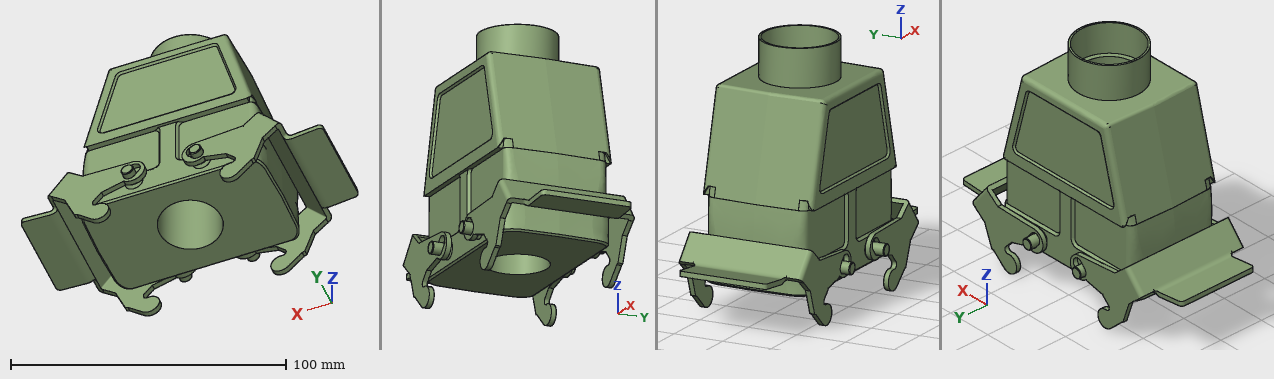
import cadquery as cq
import math

HOOD_BASE_Z = 32.2
SHELL_HALF_Y = 21.6
PANEL_HALF_Y = 20.5
CORNER_START_X = 31.5
END_BOW = 0.7
BASE_BEVEL = 0.7
HOOD_BASE_HALF_X = 34.31
CORNER_TOP_Y = 17.3
SHELL_STATIONS = (
    (BASE_BEVEL, 36.5, 14.1),
    (11.9, 36.0, 14.1),
    (27.3, 35.1, CORNER_TOP_Y),
    (HOOD_BASE_Z, HOOD_BASE_HALF_X, CORNER_TOP_Y),
)
PANEL_BASE_Z = 11.6
PANEL_INNER_X = 3.9
PANEL_CORNER_RADIUS = 2.1
RECESS_WALL_ANGLE = 40.0
PANEL_OVERRUN = 9.5
CUT_CLEARANCE = 0.1
ELLIPSE_PULL = 0.55

HOOD_TOP_Z = 71.8
HOOD_HALF_Y = 22.7
HOOD_TOP_HALF_X = 24.0
HOOD_BOW = 0.89
HOOD_FILLET = 1.9
HOOD_END_FILLET = 1.3
WINDOW_BASE_Z = 37.8
WINDOW_TOP_Z = 66.9
WINDOW_BASE_HALF_X = 27.0
WINDOW_TOP_HALF_X = 19.2
WINDOW_DEPTH = 0.8
WINDOW_CORNER_RADIUS = 1.8
CORNER_RELIEF_HEIGHT = 3.7
CORNER_RELIEF_TOP_Y = 20.4
NECK_INSET = 0.18

TOWER_DIAMETER = 30.0
TOWER_BORE_DIAMETER = 28.3
TOWER_TOP_Z = 86.9
LEDGE_Z = 73.7
BORE_DIAMETER = 24.0
BODY_SHIFT_Y = 0.1

PIN_X = 13.3
PIN_Z = 6.4
PIN_RADIUS = 2.4
PIN_END_Y = 28.62
PIN_CHAMFER = 0.3
BOSS_BASE_RADIUS = 4.4
BOSS_TOP_RADIUS = 2.5
BOSS_END_Y = 22.9

SHEET = 2.0
LEVER_HALF_Y = 25.5
LEVER_SHIFT_Y = 0.6
BRIDGE_ANGLE = 48.5
BRIDGE_LENGTH = 12.2
BRIDGE_FOOT = (-45.8, 10.2)
BEND_RADIUS = 1.8
INNER_BEND_RADIUS = 0.5
HANDLE_ANGLE = 173.8
HANDLE_LENGTH = 12.86
HANDLE_HALF_Y = 18.0
HANDLE_DROP = 0.7
HANDLE_BEND_RADIUS = 2.6
HANDLE_CORNER_RADIUS = 1.7
HANDLE_ROOT_RADIUS = 1.2
EYE_RADIUS = 5.04
SLOT_RADIUS = 2.5
SLOT_TRAVEL = 2.7
SLOT_ANGLE = 48.5
HOOK_CENTRE = (-26.2, -8.2)
HOOK_RADIUS = 4.0
THROAT_RADIUS = 1.48
THROAT_TURN = 96.0
THROAT_START = 138.0
THROAT_MIDDLE = 207.0
HOOK_MIDDLE = -20.0
HOOK_END = 226.0
ARM_TOP_CORNER = (-31.3, 13.9)
ARM_UNDERSIDE = ((-15.8, 3.5), (-24.5, 1.5))
BACK_CORNERS = ((-34.5, -5.9), (-35.5, -5.5), (-38.9, 4.1))
RIGHT_LEVER_SWING = 2.65


def along(point, angle, distance):
    """The point a distance away in a direction given in degrees."""
    turn = math.radians(angle)
    return (point[0] + distance * math.cos(turn), point[1] + distance * math.sin(turn))


def rounded_section(z, half_x, corner_x, half_y, corner_y):
    """Closed outline with creased ends and four tangent rounded corners."""
    end_x = half_x - END_BOW * corner_y / HOOD_HALF_Y
    pull_x = corner_x + ELLIPSE_PULL * (end_x - corner_x)
    pull_y = corner_y + ELLIPSE_PULL * (half_y - corner_y)
    return (
        cq.Workplane("XY", origin=(0, 0, z))
        .moveTo(half_x, 0)
        .lineTo(end_x, corner_y)
        .bezier([(end_x, corner_y), (end_x, pull_y), (pull_x, half_y), (corner_x, half_y)])
        .lineTo(-corner_x, half_y)
        .bezier([(-corner_x, half_y), (-pull_x, half_y), (-end_x, pull_y), (-end_x, corner_y)])
        .lineTo(-half_x, 0)
        .lineTo(-end_x, -corner_y)
        .bezier([(-end_x, -corner_y), (-end_x, -pull_y), (-pull_x, -half_y), (-corner_x, -half_y)])
        .lineTo(corner_x, -half_y)
        .bezier([(corner_x, -half_y), (pull_x, -half_y), (end_x, -pull_y), (end_x, -corner_y)])
        .close()
        .wire()
        .val()
    )


def hood_half_x(z):
    """Half length of the hood at the crease of its sloping ends."""
    share = (z - HOOD_BASE_Z) / (HOOD_TOP_Z - HOOD_BASE_Z)
    return HOOD_BASE_HALF_X + share * (HOOD_TOP_HALF_X - HOOD_BASE_HALF_X)


def shell_loft(half_y):
    """Flaring shell of one half width, from the bevelled base up to the hood."""
    base_half_x, base_corner_y = SHELL_STATIONS[0][1:]
    bottom = rounded_section(
        0, base_half_x - BASE_BEVEL, CORNER_START_X - BASE_BEVEL, half_y - BASE_BEVEL, base_corner_y
    )
    sections = [
        rounded_section(z, half_x, CORNER_START_X, half_y, corner_y)
        for z, half_x, corner_y in SHELL_STATIONS
    ]
    bevel = cq.Workplane(cq.Solid.makeLoft([bottom, sections[0]], True))
    return bevel.union(cq.Workplane(cq.Solid.makeLoft(sections)))


def side_plane(side, y):
    """Plane on one long side, with its normal pointing out of the housing."""
    return cq.Plane(origin=(0, side * y, 0), xDir=(-side, 0, 0), normal=(0, side, 0))


def lower_shell():
    """Flaring shell with a base band, centre ribs and recessed side panels."""
    shell = shell_loft(SHELL_HALF_Y)
    panel_length = HOOD_BASE_HALF_X + PANEL_OVERRUN
    panel_height = HOOD_BASE_Z - PANEL_BASE_Z
    for side in (-1, 1):
        for end in (-1, 1):
            recess = (
                cq.Workplane(side_plane(side, PANEL_HALF_Y))
                .center(end * (PANEL_INNER_X + panel_length / 2), PANEL_BASE_Z + panel_height / 2)
                .sketch()
                .rect(panel_length, panel_height)
                .vertices()
                .fillet(PANEL_CORNER_RADIUS)
                .finalize()
                .extrude(SHELL_HALF_Y - PANEL_HALF_Y + CUT_CLEARANCE, taper=-RECESS_WALL_ANGLE)
            )
            shell = shell.cut(recess)
    above_band = cq.Workplane("XY", origin=(0, 0, PANEL_BASE_Z))
    middle = above_band.rect(2 * CORNER_START_X, 3 * SHELL_HALF_Y).extrude(panel_height)
    ends = above_band.rect(4 * CORNER_START_X, 4 * SHELL_HALF_Y).extrude(panel_height).cut(middle)
    return shell.cut(ends).union(shell_loft(PANEL_HALF_Y)).union(shell_neck())


def shell_neck():
    """Top of the shell inside the hood, exposed only by the corner reliefs."""
    sections = []
    for z in (HOOD_BASE_Z, HOOD_BASE_Z + CORNER_RELIEF_HEIGHT):
        half_x = hood_half_x(z) - NECK_INSET
        corner_x = half_x - HOOD_BASE_HALF_X + CORNER_START_X
        sections.append(rounded_section(z, half_x, corner_x, PANEL_HALF_Y, CORNER_TOP_Y))
    return cq.Workplane(cq.Solid.makeLoft(sections, True))


def hood_section(z, half_x):
    """Hexagon with creased ends."""
    return (
        cq.Workplane("XY", origin=(0, 0, z))
        .polyline([
            (half_x, 0),
            (half_x - HOOD_BOW, HOOD_HALF_Y),
            (HOOD_BOW - half_x, HOOD_HALF_Y),
            (-half_x, 0),
            (HOOD_BOW - half_x, -HOOD_HALF_Y),
            (half_x - HOOD_BOW, -HOOD_HALF_Y),
        ])
        .close()
        .wire()
        .val()
    )


def hood():
    """Tapered hood with rounded edges, side windows and relieved lower corners."""
    sections = [
        hood_section(HOOD_BASE_Z, HOOD_BASE_HALF_X),
        hood_section(HOOD_TOP_Z, HOOD_TOP_HALF_X),
    ]
    body = cq.Workplane(cq.Solid.makeLoft(sections, True))
    body = body.faces("<Y or >Y").edges("not <Z").fillet(HOOD_FILLET)
    body = body.faces(">Z").edges("not |X").fillet(HOOD_END_FILLET)
    for side in (-1, 1):
        body = body.cut(hood_window(side)).cut(corner_relief(side))
    return body


def hood_window(side):
    """Shallow trapezoid recess with sloping walls in one long side."""
    outline = [
        (-WINDOW_BASE_HALF_X, WINDOW_BASE_Z),
        (WINDOW_BASE_HALF_X, WINDOW_BASE_Z),
        (WINDOW_TOP_HALF_X, WINDOW_TOP_Z),
        (-WINDOW_TOP_HALF_X, WINDOW_TOP_Z),
        (-WINDOW_BASE_HALF_X, WINDOW_BASE_Z),
    ]
    return (
        cq.Workplane(side_plane(side, HOOD_HALF_Y - WINDOW_DEPTH))
        .sketch()
        .polygon(outline)
        .vertices()
        .fillet(WINDOW_CORNER_RADIUS)
        .finalize()
        .extrude(WINDOW_DEPTH + CUT_CLEARANCE, taper=-RECESS_WALL_ANGLE)
    )


def corner_relief(side):
    """Sloping cut under the two lower hood corners of one long side."""
    relief_z = HOOD_BASE_Z + CORNER_RELIEF_HEIGHT
    outline = [
        (side * CORNER_TOP_Y, HOOD_BASE_Z),
        (side * CORNER_TOP_Y, relief_z),
        (side * CORNER_RELIEF_TOP_Y, relief_z),
        (side * HOOD_HALF_Y, HOOD_BASE_Z),
    ]
    cutter = cq.Workplane("YZ").polyline(outline).close().extrude(HOOD_BASE_HALF_X, both=True)
    middle = cq.Workplane("XY").box(2 * CORNER_START_X, 3 * HOOD_HALF_Y, 3 * HOOD_TOP_Z)
    return cutter.cut(middle)


def pivot_pin(side, end):
    """Round pin on a conical boss, rooted in the side of the shell."""
    plane = side_plane(side, 0)
    plane.origin = cq.Vector(end * PIN_X, side * PANEL_HALF_Y, PIN_Z)
    boss = cq.Workplane(
        cq.Solid.makeCone(
            BOSS_BASE_RADIUS, BOSS_TOP_RADIUS, BOSS_END_Y - PANEL_HALF_Y, plane.origin, plane.zDir
        )
    )
    pin = cq.Workplane(plane).circle(PIN_RADIUS).extrude(PIN_END_Y - PANEL_HALF_Y)
    return boss.union(pin.faces(">Y" if side > 0 else "<Y").chamfer(PIN_CHAMFER))


def make_housing():
    """Hood and shell with the bored cable entry and the four lever pins."""
    body = lower_shell().union(hood())
    tower = (
        cq.Workplane("XY", origin=(0, 0, HOOD_BASE_Z))
        .circle(TOWER_DIAMETER / 2)
        .extrude(TOWER_TOP_Z - HOOD_BASE_Z)
    )
    bore = cq.Workplane("XY").circle(BORE_DIAMETER / 2).extrude(TOWER_TOP_Z)
    tower_bore = (
        cq.Workplane("XY", origin=(0, 0, LEDGE_Z))
        .circle(TOWER_BORE_DIAMETER / 2)
        .extrude(TOWER_TOP_Z - LEDGE_Z)
    )
    body = body.union(tower).cut(bore).cut(tower_bore).translate((0, BODY_SHIFT_Y, 0))
    for side in (-1, 1):
        for end in (-1, 1):
            body = body.union(pivot_pin(side, end))
    return body


INWARD_ANGLE = BRIDGE_ANGLE - 90
BRIDGE_TOP = along(BRIDGE_FOOT, BRIDGE_ANGLE, BRIDGE_LENGTH)
PIN_CENTRE = (-PIN_X, PIN_Z)
EYE_CENTRE = along(PIN_CENTRE, SLOT_ANGLE, SLOT_TRAVEL / 2)


def xz_plane(y):
    """Plane with local axes X and Z, whose normal points toward -Y."""
    return cq.Workplane("XZ", origin=(0, y, 0))


def bridge_plane():
    """Plane across the bridge at its foot: local X along Y, local Y outward, normal up the slope."""
    foot_x, foot_z = BRIDGE_FOOT
    rise_x, rise_z = along((0, 0), BRIDGE_ANGLE, 1)
    return cq.Plane(origin=(foot_x, 0, foot_z), xDir=(0, 1, 0), normal=(rise_x, 0, rise_z))


def bridge():
    """Sloping web of the lever with its two rounded bends."""

    def block(half_y, top, bottom, radius):
        return (
            cq.Workplane(bridge_plane())
            .center(0, (top + bottom) / 2)
            .rect(2 * half_y, top - bottom)
            .extrude(BRIDGE_LENGTH)
            .edges(cq.selectors.ParallelDirSelector(bridge_plane().zDir))
            .fillet(radius)
        )

    bend_depth = SHEET + INNER_BEND_RADIUS
    depth = 3 * bend_depth
    outer = block(LEVER_HALF_Y, 0, -depth, BEND_RADIUS)
    inner = block(LEVER_HALF_Y - SHEET, -SHEET, -2 * depth, INNER_BEND_RADIUS)
    kept = (
        cq.Workplane(bridge_plane())
        .center(0, -bend_depth / 2)
        .rect(2 * LEVER_HALF_Y, bend_depth)
        .extrude(BRIDGE_LENGTH)
    )
    return outer.cut(inner).intersect(kept)


def handle():
    """Bent strip that leaves the foot of the bridge, with flared roots and rounded corners."""
    bend = along(BRIDGE_FOOT, BRIDGE_ANGLE, -HANDLE_DROP)
    tip = along(bend, HANDLE_ANGLE, HANDLE_LENGTH)
    start = along(BRIDGE_FOOT, BRIDGE_ANGLE, HANDLE_BEND_RADIUS)
    lower_angle = HANDLE_ANGLE + 90 - 360
    half_turn = (lower_angle - INWARD_ANGLE) / 2
    lower_bend = along(bend, INWARD_ANGLE + half_turn, SHEET / math.cos(math.radians(half_turn)))
    half_width = HANDLE_HALF_Y + HANDLE_ROOT_RADIUS
    strip = (
        xz_plane(half_width)
        .polyline([
            start,
            bend,
            tip,
            along(tip, lower_angle, SHEET),
            lower_bend,
            along(start, INWARD_ANGLE, SHEET),
        ])
        .close()
        .extrude(2 * half_width)
    )
    strip = strip.edges(cq.selectors.NearestToPointSelector((bend[0], 0, bend[1])))
    strip = strip.fillet(HANDLE_BEND_RADIUS)
    strip = strip.edges(cq.selectors.NearestToPointSelector((lower_bend[0], 0, lower_bend[1])))
    strip = strip.fillet(HANDLE_BEND_RADIUS + SHEET)
    for side in (-1, 1):
        strip = strip.cut(handle_notch(side))
    return strip.faces("<X").edges("not |Y").fillet(HANDLE_CORNER_RADIUS)


def handle_notch(side):
    """Round-cornered block beside the handle, cut square to the bridge up to its foot."""
    inward_x, inward_z = along((0, 0), INWARD_ANGLE, 1)
    foot_x, foot_z = BRIDGE_FOOT
    plane = cq.Plane(origin=(foot_x, 0, foot_z), xDir=(0, 1, 0), normal=(inward_x, 0, inward_z))
    down = math.copysign(1, -plane.yDir.z)
    return (
        cq.Workplane(plane)
        .center(side * (HANDLE_HALF_Y + HANDLE_LENGTH / 2), down * HANDLE_LENGTH)
        .rect(HANDLE_LENGTH, 2 * HANDLE_LENGTH)
        .extrude(2 * HANDLE_LENGTH, both=True)
        .edges(cq.selectors.ParallelDirSelector(plane.zDir))
        .fillet(HANDLE_ROOT_RADIUS)
    )


def side_plate(y):
    """Flat plate with eye, slot and hook; y is its face nearer +Y."""
    bend_foot = along(BRIDGE_FOOT, INWARD_ANGLE, BEND_RADIUS)
    bend_top = along(BRIDGE_TOP, INWARD_ANGLE, BEND_RADIUS)
    throat_centre = along(HOOK_CENTRE, THROAT_TURN, HOOK_RADIUS + THROAT_RADIUS)
    throat_end = along(HOOK_CENTRE, THROAT_TURN, HOOK_RADIUS)
    plate = (
        xz_plane(y)
        .moveTo(*bend_top)
        .lineTo(*ARM_TOP_CORNER)
        .lineTo(EYE_CENTRE[0], EYE_CENTRE[1] + EYE_RADIUS)
        .lineTo(*EYE_CENTRE)
        .polyline(ARM_UNDERSIDE, includeCurrent=True)
        .lineTo(*along(throat_centre, THROAT_START, THROAT_RADIUS))
        .threePointArc(along(throat_centre, THROAT_MIDDLE, THROAT_RADIUS), throat_end)
        .threePointArc(
            along(HOOK_CENTRE, HOOK_MIDDLE, HOOK_RADIUS), along(HOOK_CENTRE, HOOK_END, HOOK_RADIUS)
        )
        .polyline(BACK_CORNERS, includeCurrent=True)
        .lineTo(*bend_foot)
        .close()
        .extrude(SHEET)
    )
    eye = xz_plane(y).center(*EYE_CENTRE).circle(EYE_RADIUS).extrude(SHEET)
    slot = (
        xz_plane(y)
        .center(*EYE_CENTRE)
        .slot2D(SLOT_TRAVEL + 2 * SLOT_RADIUS, 2 * SLOT_RADIUS, SLOT_ANGLE)
        .extrude(SHEET)
    )
    return plate.union(eye).cut(slot)


def make_left_lever():
    """Bent lever with its bridge, handle and side plates in one piece."""
    lever = bridge().union(handle())
    for y in (LEVER_HALF_Y, SHEET - LEVER_HALF_Y):
        lever = lever.union(side_plate(y))
    return lever.translate((0, LEVER_SHIFT_Y, 0))


housing = make_housing()
left_lever = make_left_lever()
right_lever = left_lever.mirror("YZ").rotate(
    (PIN_X, 0, PIN_Z), (PIN_X, 1, PIN_Z), RIGHT_LEVER_SWING
)
result = cq.Compound.makeCompound([housing.val(), left_lever.val(), right_lever.val()])